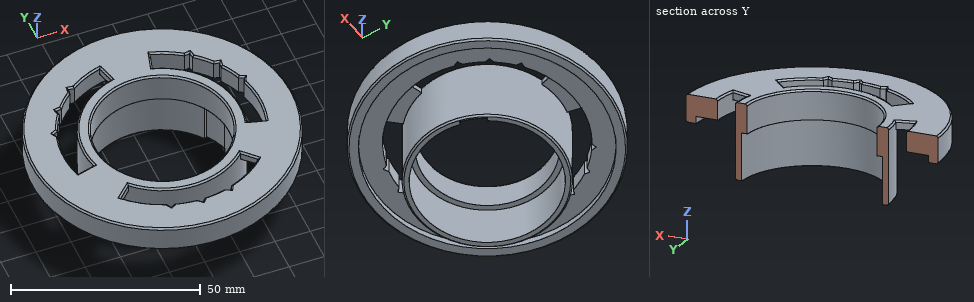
import cadquery as cq
import math

FLANGE_DIAMETER = 74.0
FLANGE_HEIGHT = 8.0
TOTAL_HEIGHT = 22.0
TUBE_DIAMETER = 45.0
EDGE_CHAMFER = 0.5

RECESS_DIAMETER = 68.0
RECESS_DEPTH = 2.0
PLATE_THICKNESS = 2.5

UPPER_BORE_DIAMETER = 38.0
UPPER_BORE_HEIGHT = 8.5
LOWER_BORE_DIAMETER = 41.2
KEYWAY_DIAMETER = 43.0
KEYWAY_SPAN = 20.0
KEYWAY_ANGLE = 25.0

FIRST_SLOT_ANGLE = 29.7
SLOT_STEP = 120.0
SLOT_SPAN = 90.0
SLOT_OUTER_RADIUS = 27.62

NOTCH_GROUP_ANGLES = (36.2, 144.7, 270.0)
NOTCHES_PER_GROUP = 3
NOTCH_PITCH = 17.2
NOTCH_DEPTH = 1.1

FLANGE_BOTTOM = TOTAL_HEIGHT - FLANGE_HEIGHT
RECESS_TOP = FLANGE_BOTTOM + RECESS_DEPTH
PLATE_BOTTOM = TOTAL_HEIGHT - PLATE_THICKNESS
LOWER_BORE_TOP = TOTAL_HEIGHT - UPPER_BORE_HEIGHT


def polar(radius, angle):
    """Point at the given radius and angle in degrees."""
    return (radius * math.cos(math.radians(angle)), radius * math.sin(math.radians(angle)))


def cylinder(diameter, bottom, top):
    """Cylinder on the Z axis between two heights."""
    return cq.Workplane("XY").workplane(offset=bottom).circle(diameter / 2).extrude(top - bottom)


def ring_sector(inner_radius, outer_radius, center_angle, span, bottom, top):
    """Part of a ring with radial ends, centred on an angle."""
    start = center_angle - span / 2
    end = center_angle + span / 2
    return (
        cq.Workplane("XY")
        .workplane(offset=bottom)
        .moveTo(*polar(inner_radius, start))
        .lineTo(*polar(outer_radius, start))
        .threePointArc(polar(outer_radius, center_angle), polar(outer_radius, end))
        .lineTo(*polar(inner_radius, end))
        .threePointArc(polar(inner_radius, center_angle), polar(inner_radius, start))
        .close()
        .extrude(top - bottom)
    )


def notch(angle):
    """Square prism whose outward corner forms a 90 degree V in the slot wall."""
    half_diagonal = 2 * NOTCH_DEPTH
    center_radius = SLOT_OUTER_RADIUS + NOTCH_DEPTH - half_diagonal
    corners = [
        (center_radius + half_diagonal, 0),
        (center_radius, half_diagonal),
        (center_radius - half_diagonal, 0),
        (center_radius, -half_diagonal),
    ]
    profile = cq.Workplane("XY").workplane(offset=FLANGE_BOTTOM).polyline(corners).close()
    return profile.extrude(FLANGE_HEIGHT).rotate((0, 0, 0), (0, 0, 1), angle)


def notched_slot(slot_angle, notch_group_angle):
    """Cutter for one arc slot with its group of notches."""
    inner_radius = TUBE_DIAMETER / 2 - NOTCH_DEPTH
    cutter = ring_sector(
        inner_radius, SLOT_OUTER_RADIUS, slot_angle, SLOT_SPAN, FLANGE_BOTTOM, TOTAL_HEIGHT
    )
    first_notch_angle = notch_group_angle - NOTCH_PITCH * (NOTCHES_PER_GROUP - 1) / 2
    for index in range(NOTCHES_PER_GROUP):
        cutter = cutter.union(notch(first_notch_angle + index * NOTCH_PITCH))
    return cutter


def flange():
    """Disc hollowed from below and pierced by the slots, still without the tube."""
    disc = cylinder(FLANGE_DIAMETER, FLANGE_BOTTOM, TOTAL_HEIGHT).faces("<Z").chamfer(EDGE_CHAMFER)
    disc = disc.cut(cylinder(RECESS_DIAMETER, FLANGE_BOTTOM, RECESS_TOP))
    disc = disc.cut(cylinder(2 * SLOT_OUTER_RADIUS, FLANGE_BOTTOM, PLATE_BOTTOM))
    for index, notch_group_angle in enumerate(NOTCH_GROUP_ANGLES):
        slot_angle = FIRST_SLOT_ANGLE + index * SLOT_STEP
        disc = disc.cut(notched_slot(slot_angle, notch_group_angle))
    return disc


def tube():
    """Central tube, still solid, with a chamfered lower rim."""
    return cylinder(TUBE_DIAMETER, 0, TOTAL_HEIGHT).faces("<Z").chamfer(EDGE_CHAMFER)


def bore():
    """Cutter for the stepped bore and its keyway."""
    upper = cylinder(UPPER_BORE_DIAMETER, 0, TOTAL_HEIGHT)
    lower = cylinder(LOWER_BORE_DIAMETER, 0, LOWER_BORE_TOP)
    keyway = ring_sector(
        UPPER_BORE_DIAMETER / 2, KEYWAY_DIAMETER / 2, KEYWAY_ANGLE, KEYWAY_SPAN, 0, LOWER_BORE_TOP
    )
    return upper.union(lower).union(keyway)


body = flange().union(tube()).cut(bore())

result = body.faces(">Z").edges().chamfer(EDGE_CHAMFER)